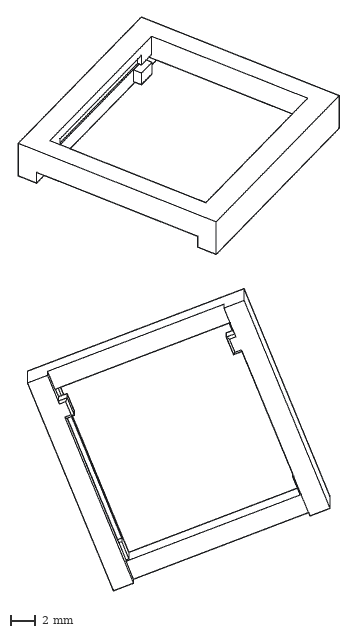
import cadquery as cq

side = 19.2
height = 3.5

rim_width_x = 2.04
rim_width_y = 1.67
leg_width = 1.79
bridge_bottom = 1.15
ledge_height = 1.54

recess_length = 12.67
recess_depth = 0.38
recess_top = 2.57

tab_reach = 0.77
tab_length = 1.63
tab_height = 1.48
tab_back_gap = 2.44
tab_chamfer = 0.21


def centered_block(x_size, y_size, bottom, top):
    """Box centered on the Z axis between two heights."""
    block = cq.Workplane("XY").box(x_size, y_size, top - bottom, centered=(True, True, False))
    return block.translate((0, 0, bottom))


def make_frame():
    opening_x = side - 2 * rim_width_x
    leg_gap = side - 2 * leg_width
    frame = centered_block(side, side, 0, height)
    frame = frame.cut(centered_block(opening_x, side - 2 * rim_width_y, 0, height))
    frame = frame.cut(centered_block(leg_gap, side, 0, bridge_bottom))
    frame = frame.cut(centered_block(leg_gap, side - 2 * rim_width_y, 0, ledge_height))
    recess_span = opening_x + 2 * recess_depth
    return frame.cut(centered_block(recess_span, recess_length, ledge_height, recess_top))


def make_tab(direction):
    """Tab on the side rail at -X (direction -1) or +X (direction 1)."""
    tip_x = side / 2 - leg_width - tab_reach
    root_x = tip_x + tab_reach + 2 * tab_chamfer
    center_y = side / 2 - tab_back_gap - tab_length / 2
    tab = cq.Workplane("XY").box(root_x - tip_x, tab_length, tab_height, centered=(True, True, False))
    tab = tab.faces("<Z").edges().chamfer(tab_chamfer)
    return tab.translate((direction * (root_x + tip_x) / 2, center_y, 0))


result = make_frame()
for direction in (-1, 1):
    result = result.union(make_tab(direction))